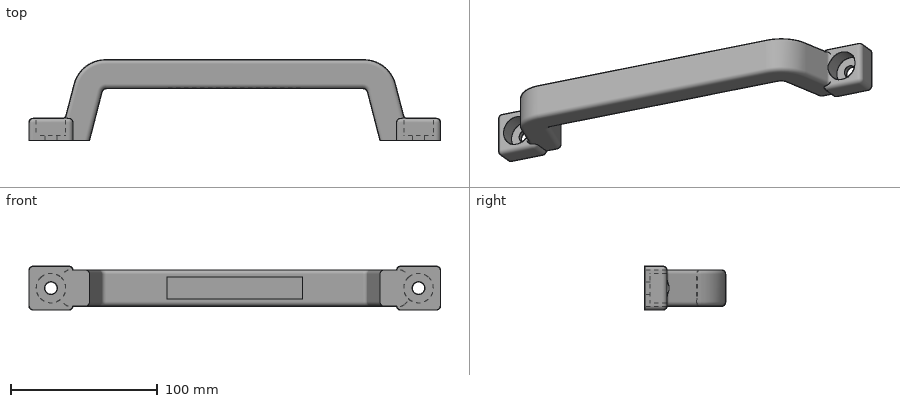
import cadquery as cq
import math

length = 280.01
standoff = 55.12
pad_size = 29.97

bar_thickness = 19.81
bar_height = 24.89
leg_tilt = math.radians(14.5)
leg_foot_inner_x = 98.8
bend_inner_radius = 3.05
bend_outer_radius = 22.35
bar_edge_radius = 3.05

pad_depth = 15.24
pad_edge_radius = 3.05
pad_root_radius = 2.3
pad_center_x = (length - pad_size) / 2
hole_diameter = 8.38
counterbore_diameter = 20.07
counterbore_floor = 3.5

panel_length = 92.0
panel_height = 15.0
panel_depth = 0.5

grip_inner_y = standoff - bar_thickness
leg_foot_outer_x = leg_foot_inner_x + bar_thickness / math.cos(leg_tilt)


def leg_x(foot_x, y):
    """X of a sloping leg face at distance y from the mounting plane."""
    return foot_x - y * math.tan(leg_tilt)


def round_corners(body, x, y, radius):
    """Fillet the two mirrored Z edges at (-x, y) and (x, y)."""
    for side in (-1, 1):
        corner = cq.selectors.NearestToPointSelector((side * x, y, 0))
        body = body.edges("|Z").edges(corner).fillet(radius)
    return body


def make_grip():
    """Bent bar with rounded long edges; each leg has a heel that ends inside its pad."""
    root_x = leg_x(leg_foot_outer_x, pad_depth)
    outer_corner_x = leg_x(leg_foot_outer_x, standoff)
    inner_corner_x = leg_x(leg_foot_inner_x, grip_inner_y)
    grip = (
        cq.Workplane("XY")
        .moveTo(-pad_center_x, 0)
        .lineTo(-pad_center_x, pad_depth)
        .lineTo(-root_x, pad_depth)
        .lineTo(-outer_corner_x, standoff)
        .lineTo(outer_corner_x, standoff)
        .lineTo(root_x, pad_depth)
        .lineTo(pad_center_x, pad_depth)
        .lineTo(pad_center_x, 0)
        .lineTo(leg_foot_inner_x, 0)
        .lineTo(inner_corner_x, grip_inner_y)
        .lineTo(-inner_corner_x, grip_inner_y)
        .lineTo(-leg_foot_inner_x, 0)
        .close()
        .extrude(bar_height / 2, both=True)
    )
    grip = round_corners(grip, outer_corner_x, standoff, bend_outer_radius)
    grip = round_corners(grip, inner_corner_x, grip_inner_y, bend_inner_radius)
    grip = round_corners(grip, root_x, pad_depth, pad_root_radius)
    long_edges = grip.faces("|Z").edges("not(<Y)")
    return long_edges.fillet(bar_edge_radius)


def make_pad(side):
    """Square pad with its Y edges and its back rim rounded; side is -1 or +1."""
    pad = (
        cq.Workplane("XY")
        .box(pad_size, pad_depth, pad_size)
        .edges("|Y or >Y")
        .fillet(pad_edge_radius)
    )
    return pad.translate((side * pad_center_x, pad_depth / 2, 0))


def make_screw_hole(side):
    """Cutter for a screw hole, counterbored from the back and clear of the leg."""
    pad_face = cq.Workplane("XZ", origin=(side * pad_center_x, 0, 0))
    hole = pad_face.circle(hole_diameter / 2).extrude(-pad_depth)
    counterbore = (
        pad_face.workplane(offset=-counterbore_floor)
        .circle(counterbore_diameter / 2)
        .extrude(counterbore_floor - standoff)
    )
    return hole.union(counterbore)


def make_panel():
    """Cutter for the shallow rectangular name panel."""
    panel = cq.Workplane("XY").box(panel_length, 2 * panel_depth, panel_height)
    return panel.translate((0, grip_inner_y, 0))


result = make_grip()
for side in (-1, 1):
    result = result.union(make_pad(side)).cut(make_screw_hole(side))
result = result.cut(make_panel())